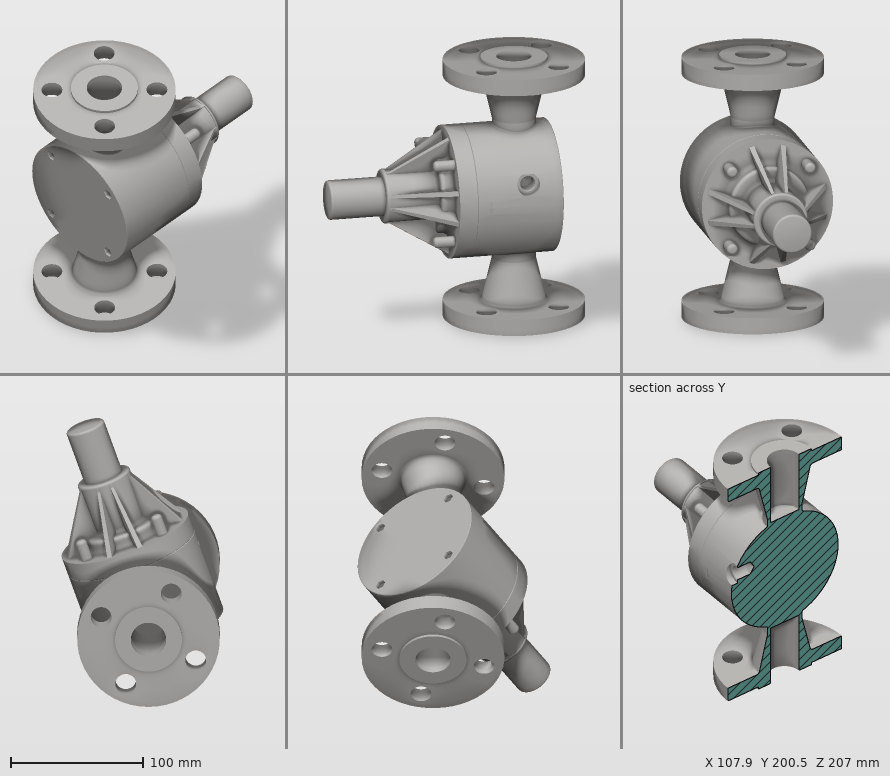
import cadquery as cq
import math


body_diameter = 101.5
body_radius = body_diameter / 2
body_front_y = -26.7
plate_front_y = 39.5
plate_back_y = 53.8
seam_chamfer = 0.5

pick_margin = 0.5

pipe_end_z = 103.5
raised_face_height = 2.0
raised_face_diameter = 50.7
flange_diameter = 107.9
flange_thickness = 12.6
cone_top_z = 87.0
cone_top_radius = 24.2
cone_bottom_z = 55.3
neck_diameter = 33.3
neck_flange_fillet = 2.5
neck_body_fillet = 1.0
bore_diameter = 26.7
flange_hole_diameter = 15.7
flange_hole_spacing = 56.0

seat_radius = 31.0
seat_back_y = 63.0
seat_root_fillet = 4.5
seat_top_fillet = 3.0
hub_radius = 19.9
hub_fillet = 3.3
collar_diameter = 41.6
collar_radius = collar_diameter / 2
collar_front_y = 100.8
collar_back_y = 103.0
collar_fillet = 1.9

shaft_diameter = 30.0
shaft_radius = shaft_diameter / 2
shaft_tip_y = 146.5
shaft_crown = 1.7
shaft_fillet = 1.9

rib_angle = 15
rib_outer_radius = 47.2
rib_inner_radius = 16.5
rib_collar_thickness = 2.3
rib_plate_thickness = 4.0
rib_shoulder_y = 98.0

screw_spacing = 60.2
stud_diameter = 8.3
stud_end_y = 69.8
stud_fillet = 2.7
socket_across_corners = 8.0
socket_depth = 3.1

port_z = 16.1
port_face_x = -45.0
port_face_diameter = 17.4
port_diameter = 12.2
port_drill_diameter = 11.2
port_depth = 12.5
port_point_angle = 118

arrow_y = 29.5
arrow_top_z = 5.4
arrow_head_z = 0.2
arrow_tip_z = -5.2
arrow_tail_width = 1.7
arrow_head_width = 4.3
arrow_depth = 0.5


def xz_plane(y):
    """Plane facing +Y at height y, with local x along -X and local y along Z."""
    return cq.Plane(origin=(0, y, 0), xDir=(-1, 0, 0), normal=(0, 1, 0))


def cylinder_y(radius, start_y, end_y):
    return cq.Workplane(xz_plane(start_y)).circle(radius).extrude(end_y - start_y)


def square_points(spacing):
    half = spacing / 2
    return [(sx * half, sy * half) for sx in (-1, 1) for sy in (-1, 1)]


def make_body():
    housing = cylinder_y(body_radius, body_front_y, plate_front_y).edges().chamfer(seam_chamfer)
    plate = cylinder_y(body_radius, plate_front_y, plate_back_y).edges("<Y").chamfer(seam_chamfer)
    return housing.union(plate)


def make_branch():
    """Upper neck and flange as one revolved profile, starting inside the body."""
    flange_top_z = pipe_end_z - raised_face_height
    flange_bottom_z = flange_top_z - flange_thickness
    cone_slope = (cone_top_radius - neck_diameter / 2) / (cone_top_z - cone_bottom_z)
    flange_root_radius = cone_top_radius + cone_slope * (flange_bottom_z - cone_top_z)
    profile = [
        (0, 0),
        (neck_diameter / 2, 0),
        (neck_diameter / 2, cone_bottom_z),
        (flange_root_radius, flange_bottom_z),
        (flange_diameter / 2, flange_bottom_z),
        (flange_diameter / 2, flange_top_z),
        (raised_face_diameter / 2, flange_top_z),
        (raised_face_diameter / 2, pipe_end_z),
        (0, pipe_end_z),
    ]
    branch = cq.Workplane("XZ").polyline(profile).close().revolve(360, (0, 0, 0), (0, 1, 0))
    flange_back = cq.selectors.NearestToPointSelector((0, 0, flange_bottom_z))
    root_edge = cq.selectors.RadiusNthSelector(0)
    branch = branch.faces(flange_back).edges(root_edge).fillet(neck_flange_fillet)
    holes = (
        cq.Workplane("XY", origin=(0, 0, flange_bottom_z))
        .pushPoints(square_points(flange_hole_spacing))
        .circle(flange_hole_diameter / 2)
        .extrude(pipe_end_z - flange_bottom_z)
    )
    return branch.cut(holes)


def add_branches(body):
    """Join both branches, round the saddle joints and bore them down to the body surface."""
    upper = make_branch()
    part = body.union(upper).union(upper.mirror("XY"))
    neck_radius = neck_diameter / 2
    reach = neck_radius + pick_margin
    saddle_low_z = math.sqrt(body_radius**2 - neck_radius**2) - pick_margin
    saddle_high_z = body_radius + pick_margin
    for side in (-1, 1):
        saddle_box = cq.selectors.BoxSelector(
            (-reach, -reach, side * saddle_low_z),
            (reach, reach, side * saddle_high_z),
            boundingbox=True,
        )
        part = part.edges(saddle_box).fillet(neck_body_fillet)
    for side in (-1, 1):
        bore = (
            cq.Workplane("XY", origin=(0, 0, side * body_radius))
            .circle(bore_diameter / 2)
            .extrude(side * (pipe_end_z - body_radius))
        )
        part = part.cut(bore)
    return part


def make_hub():
    seat = cylinder_y(seat_radius, plate_back_y, seat_back_y)
    seat = seat.faces(">Y").edges().fillet(seat_top_fillet)
    hub = seat.union(cylinder_y(hub_radius, seat_back_y, collar_front_y))
    hub_root = cq.selectors.NearestToPointSelector((0, seat_back_y, 0))
    hub = hub.faces(hub_root).edges(cq.selectors.RadiusNthSelector(0)).fillet(hub_fillet)
    collar = cylinder_y(collar_radius, collar_front_y, collar_back_y)
    collar = collar.faces(">Y").edges().fillet(collar_fillet)
    return hub.union(collar)


def add_hub(part):
    """Join the hub to the plate with a rounded root."""
    part = part.union(make_hub())
    reach = seat_radius + pick_margin
    seat_root = cq.selectors.BoxSelector(
        (-reach, plate_back_y - pick_margin, -reach),
        (reach, plate_back_y + pick_margin, reach),
        boundingbox=True,
    )
    return part.edges(seat_root).fillet(seat_root_fillet)


def make_shaft():
    """Shaft with a crowned, rounded end."""
    rim_y = shaft_tip_y - shaft_crown
    crown_mid_radius = shaft_radius / 2
    crown_mid_y = shaft_tip_y - shaft_crown / 4
    shaft = (
        cq.Workplane("XY")
        .moveTo(0, collar_front_y)
        .lineTo(shaft_radius, collar_front_y)
        .lineTo(shaft_radius, rim_y)
        .threePointArc((crown_mid_radius, crown_mid_y), (0, shaft_tip_y))
        .close()
        .revolve(360, (0, 0, 0), (0, 1, 0))
    )
    return shaft.faces(">Y").edges().fillet(shaft_fillet)


def make_rib():
    """One rib along +X: sloped side outline, thicker towards the plate."""
    side_outline = [
        (rib_inner_radius, plate_back_y),
        (rib_outer_radius, plate_back_y),
        (collar_radius, rib_shoulder_y),
        (collar_radius, collar_front_y),
        (rib_inner_radius, collar_front_y),
    ]
    half_collar = rib_collar_thickness / 2
    half_plate = rib_plate_thickness / 2
    edge_outline = [
        (plate_back_y, -half_plate),
        (collar_front_y, -half_collar),
        (collar_front_y, half_collar),
        (plate_back_y, half_plate),
    ]
    side = cq.Workplane("XY").polyline(side_outline).close().extrude(rib_plate_thickness, both=True)
    edge = cq.Workplane("YZ").polyline(edge_outline).close().extrude(rib_outer_radius)
    return side.intersect(edge)


def add_ribs(part):
    rib = make_rib()
    for quarter in range(4):
        for side in (-1, 1):
            angle = 90 * quarter + side * rib_angle
            part = part.union(rib.rotate((0, 0, 0), (0, 1, 0), angle))
    return part


def add_screws(part):
    """Stud ends behind the plate, hexagon sockets in the front face."""
    points = square_points(screw_spacing)
    studs = (
        cq.Workplane(xz_plane(plate_back_y))
        .pushPoints(points)
        .circle(stud_diameter / 2)
        .extrude(stud_end_y - plate_back_y)
        .faces(">Y")
        .edges()
        .fillet(stud_fillet)
    )
    sockets = (
        cq.Workplane(xz_plane(body_front_y))
        .pushPoints(points)
        .polygon(6, socket_across_corners)
        .extrude(socket_depth)
    )
    return part.union(studs).cut(sockets)


def cut_port(part):
    """Spot-faced blind port on the -X side, drilled along X with a conical bottom."""
    drill_radius = port_drill_diameter / 2
    port_radius = port_diameter / 2
    point_length = drill_radius / math.tan(math.radians(port_point_angle / 2))
    lead_in = port_radius - drill_radius
    bottom_x = port_face_x + port_depth
    profile = [
        (-body_radius, port_z),
        (-body_radius, port_z + port_face_diameter / 2),
        (port_face_x, port_z + port_face_diameter / 2),
        (port_face_x, port_z + port_radius),
        (port_face_x + lead_in, port_z + drill_radius),
        (bottom_x, port_z + drill_radius),
        (bottom_x + point_length, port_z),
    ]
    port = cq.Workplane("XZ").polyline(profile).close().revolve(360, (0, port_z, 0), (1, port_z, 0))
    return part.cut(port)


def cut_arrow(part):
    half_tail = arrow_tail_width / 2
    half_head = arrow_head_width / 2
    outline = [
        (arrow_y - half_tail, arrow_top_z),
        (arrow_y + half_tail, arrow_top_z),
        (arrow_y + half_tail, arrow_head_z),
        (arrow_y + half_head, arrow_head_z),
        (arrow_y, arrow_tip_z),
        (arrow_y - half_head, arrow_head_z),
        (arrow_y - half_tail, arrow_head_z),
    ]
    arrow = cq.Workplane("YZ").polyline(outline).close().extrude(-body_radius)
    core = cylinder_y(body_radius - arrow_depth, plate_front_y, body_front_y)
    return part.cut(arrow.cut(core))


result = add_branches(make_body())
result = add_hub(result)
result = result.union(make_shaft())
result = add_ribs(result)
result = add_screws(result)
result = cut_port(result)
result = cut_arrow(result)